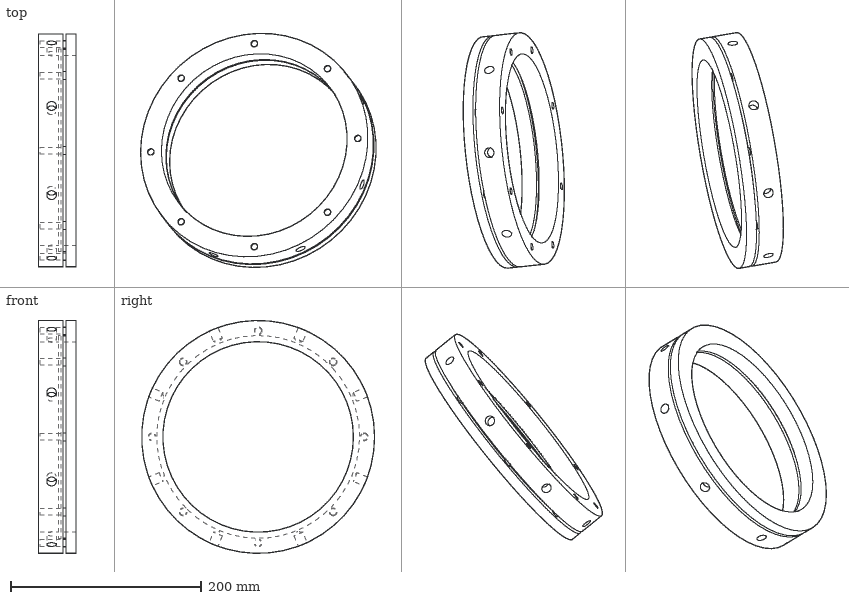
import cadquery as cq
import math

outer_radius = 122.5
bore_radius = 100.0
front_flange_width = 26.2
slot_width = 3.0
back_flange_width = 10.8
back_flange_start = front_flange_width + slot_width
total_width = back_flange_start + back_flange_width

slot_floor_radius = 106.5
bore_slot_start = 21.0

pin_count = 8
pin_circle_radius = 111.5
shank_diameter = 6.9
collar_diameter = 8.0
shank_recess = 2.0

radial_hole_diameter = 10.0
radial_hole_depth = 12.0
radial_hole_x = 14.0
drill_tip_angle = 118.0

pin_step = 360 / pin_count
pin_angles = [index * pin_step for index in range(pin_count)]
radial_hole_angles = [angle + pin_step / 2 for angle in pin_angles]


def make_annulus(outer, inner, start, width):
    """Annular disc about the X axis."""
    return cq.Workplane("YZ", origin=(start, 0, 0)).circle(outer).circle(inner).extrude(width)


def make_rod(diameter, start, end, angle):
    """Round rod parallel to X, centred on the pin circle at the given angle."""
    y = pin_circle_radius * math.cos(math.radians(angle))
    z = pin_circle_radius * math.sin(math.radians(angle))
    return cq.Workplane("YZ", origin=(start, y, z)).circle(diameter / 2).extrude(end - start)


def make_radial_drill(angle):
    """Cutter for one blind radial hole: a cylinder with a conical tip."""
    radius = radial_hole_diameter / 2
    tip_length = radius / math.tan(math.radians(drill_tip_angle / 2))
    floor_y = outer_radius - radial_hole_depth
    top_y = outer_radius + radius
    profile = [(0, floor_y - tip_length), (radius, floor_y), (radius, top_y), (0, top_y)]
    drill = cq.Workplane("XY").polyline(profile).close().revolve(360, (0, 0, 0), (0, 1, 0))
    return drill.translate((radial_hole_x, 0, 0)).rotate((0, 0, 0), (1, 0, 0), angle)


def make_locking_ring():
    """Slotted ring with the pin holes and the radial holes."""
    body = make_annulus(outer_radius, bore_radius, 0, total_width)
    body = body.cut(make_annulus(outer_radius, slot_floor_radius, front_flange_width, slot_width))
    body = body.cut(make_annulus(slot_floor_radius, bore_radius, bore_slot_start, slot_width))
    for angle in pin_angles:
        body = body.cut(make_rod(shank_diameter, 0, front_flange_width, angle))
    for angle in radial_hole_angles:
        body = body.cut(make_radial_drill(angle))
    return body


def make_pin(angle):
    """Stepped pin: shank set back from the front face, collar between the flanges."""
    shank = make_rod(shank_diameter, shank_recess, front_flange_width, angle)
    collar = make_rod(collar_diameter, front_flange_width, back_flange_start, angle)
    return shank.union(collar)


locking_ring = make_locking_ring()
pins = [make_pin(angle) for angle in pin_angles]

result = cq.Compound.makeCompound([locking_ring.solids().val(), *[pin.solids().val() for pin in pins]])